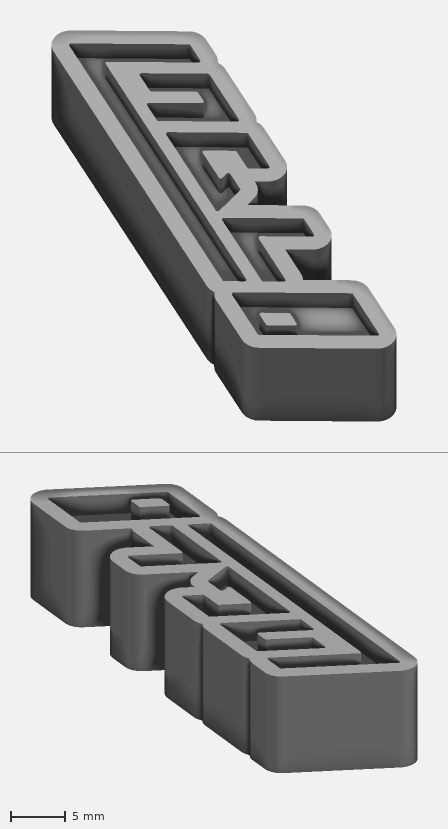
import cadquery as cq
import math

body_length = 47.95
body_height = 10.0
body_depth = 13.25
letter_height = 10.0
wall = (body_depth - letter_height) / 2
pocket_depth = 2.0
corner_radius = 0.2
slant = 0.5

underline_top = 2.0
letter_base = 3.2
short_foot = 4.2
foot_top = 5.25
hook_top = 6.4
top_stroke_base = 8.1

stroke = 2.5
underline_end = 32.6
n_left = 4.05
n_right = 10.6
c_left = 12.15
c_top_end = 17.0
leg_left = 23.9
block_left = 34.15

corner_pullback = corner_radius * (slant + math.sqrt(1 + slant ** 2) - 1)
block_right = body_length - letter_height * slant - 2 * (wall - corner_pullback)

island_left = 36.9
island_right = 38.65
island_base = 1.2
island_top = 3.8


def lean(position, y):
    """Point on a stroke edge that leans right."""
    return (position + y * slant, y)


def lean_back(position, y):
    """Point on a stroke edge that leans left."""
    return (position - y * slant, y)


def prism(points):
    """Pocket-deep prism, its top flush with the top of the body, with eased vertical corners."""
    sharp = cq.Workplane("XY", origin=(0, 0, body_height)).polyline(points).close().extrude(-pocket_depth)
    return sharp.edges("|Z").fillet(corner_radius)


def surround(letter):
    """Full-height solid reaching one wall thickness beyond a letter."""
    return letter.faces(">Z").wires().toPending().offset2D(wall).extrude(-body_height)


frame = prism([
    lean(0, 0),
    lean(underline_end, 0),
    lean(underline_end, underline_top),
    lean(stroke, underline_top),
    lean(stroke, letter_height),
    lean(0, letter_height),
])

letter_n = prism([
    lean(n_left, short_foot),
    lean(n_left + stroke, short_foot),
    lean(n_left + stroke, top_stroke_base),
    lean(n_right - stroke, top_stroke_base),
    lean(n_right - stroke, letter_base),
    lean(n_right, letter_base),
    lean(n_right, letter_height),
    lean(n_left, letter_height),
])

letter_c = prism([
    lean(c_left, letter_base),
    lean_back(leg_left + stroke, letter_base),
    lean_back(leg_left + stroke, hook_top),
    lean_back(leg_left, hook_top),
    lean_back(leg_left, foot_top),
    lean(c_left + stroke, foot_top),
    lean(c_left + stroke, top_stroke_base),
    lean(c_top_end, top_stroke_base),
    lean(c_top_end, letter_height),
    lean(c_left, letter_height),
])

letter_l = prism([
    lean(leg_left, letter_base),
    lean(underline_end, letter_base),
    lean(underline_end, foot_top),
    lean(leg_left + stroke, foot_top),
    lean(leg_left + stroke, letter_height),
    lean(leg_left, letter_height),
])

block = prism([
    lean(block_left, 0),
    lean(block_right, 0),
    lean(block_right, letter_height),
    lean(block_left, letter_height),
])

island = prism([
    lean(island_left, island_base),
    lean(island_right, island_base),
    lean(island_right, island_top),
    lean(island_left, island_top),
])

letters = [frame, letter_n, letter_c, letter_l, block]

body = surround(frame)
for letter in letters[1:]:
    body = body.union(surround(letter))

for letter in letters:
    body = body.cut(letter)

result = body.union(island)